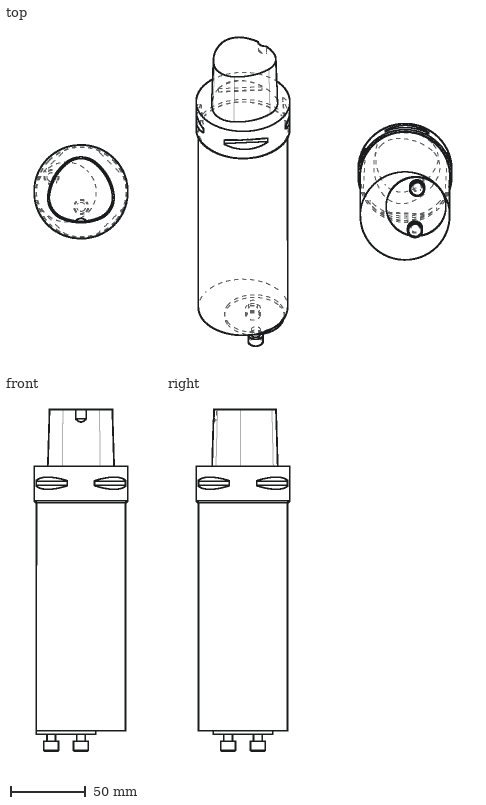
import cadquery as cq
import math

total_height = 229.0
shank_length = 38.0
flange_height = 24.5
pad_bottom = 11.2
body_bottom = 13.5
flange_top = total_height - shank_length
flange_bottom = flange_top - flange_height

flange_diameter = 63.0
body_diameter = 60.0
flange_chamfer = 1.1

lobe_radius = 15.5
side_radius = 33.2
lobe_center_distance = 7.8
lobe_facings = (90, 210, 330)
lobe_to_side_angle = 60
radius_step = side_radius - lobe_radius
lobe_center_across = lobe_center_distance * math.sin(math.radians(lobe_to_side_angle))
lobe_center_along = lobe_center_distance * math.cos(math.radians(lobe_to_side_angle))
side_half_angle = math.degrees(math.asin(lobe_center_across / radius_step))
side_center_distance = radius_step * math.cos(math.radians(side_half_angle)) - lobe_center_along
lobe_half_angle = lobe_to_side_angle - side_half_angle
taper_per_side = 1.1

notch_diameter = 9.2
notch_axis_y = -22.5
notch_depth = 6.5
notch_tip_height = notch_diameter / 2

groove_angles = (45, 135, 225, 315)
groove_center_z = 179.5
groove_floor_distance = 27.5
groove_floor_width = 3.0
groove_flank_angle = 33.0
groove_length = 29.3

pad_diameter = 40.0
pad_center_x = -(body_diameter - pad_diameter) / 2
screw_pitch = 20.0
screw_shank_diameter = 6.0
screw_head_diameter = 10.0
screw_head_height = 6.6
screw_head_chamfer = 0.7


def cylinder(diameter, bottom, top, x=0.0, y=0.0):
    """Upright cylinder between two heights."""
    base = cq.Workplane("XY", origin=(x, y, bottom))
    return base.circle(diameter / 2).extrude(top - bottom)


def polar(radius, angle):
    """Point at a distance and an angle in degrees from the origin."""
    return radius * math.cos(math.radians(angle)), radius * math.sin(math.radians(angle))


def arc_point(center, radius, angle):
    """Point on a circle about a center, at an angle in degrees."""
    reach_x, reach_y = polar(radius, angle)
    return center[0] + reach_x, center[1] + reach_y


def shank_outline(workplane, inset):
    """Closed outline moved inward by the inset, running from each lobe to the side after it."""
    lobe = lobe_radius - inset
    side = side_radius - inset
    first_center = polar(lobe_center_distance, lobe_facings[0])
    outline = workplane.moveTo(*arc_point(first_center, lobe, lobe_facings[0] - lobe_half_angle))
    for facing in lobe_facings:
        lobe_center = polar(lobe_center_distance, facing)
        side_facing = facing + lobe_to_side_angle
        side_center = polar(-side_center_distance, side_facing)
        outline = outline.threePointArc(
            arc_point(lobe_center, lobe, facing), arc_point(lobe_center, lobe, facing + lobe_half_angle)
        )
        outline = outline.threePointArc(
            arc_point(side_center, side, side_facing),
            arc_point(side_center, side, side_facing + side_half_angle),
        )
    return outline.close()


def make_shank():
    """Tapered shank standing on the flange."""
    lower = shank_outline(cq.Workplane("XY", origin=(0, 0, flange_top)), 0.0)
    both = shank_outline(lower.workplane(offset=shank_length), taper_per_side)
    return both.loft(ruled=True, combine=True)


def make_notch():
    """Upright round cut with a conical tip below it."""
    floor = total_height - notch_depth
    tip_point = cq.Vector(0, notch_axis_y, floor - notch_tip_height)
    tip = cq.Solid.makeCone(0, notch_diameter / 2, notch_tip_height, pnt=tip_point)
    return cylinder(notch_diameter, floor, total_height, y=notch_axis_y).union(tip)


def make_groove(angle):
    """Straight groove with a flat floor and sloping flanks."""
    depth = flange_diameter / 2 - groove_floor_distance
    half_floor = groove_floor_width / 2
    half_mouth = half_floor + depth * math.tan(math.radians(groove_flank_angle))
    groove = (
        cq.Workplane("XZ", origin=(0, groove_length / 2, groove_center_z))
        .moveTo(groove_floor_distance, -half_floor)
        .lineTo(flange_diameter / 2, -half_mouth)
        .lineTo(flange_diameter / 2, half_mouth)
        .lineTo(groove_floor_distance, half_floor)
        .close()
        .extrude(groove_length)
    )
    return groove.rotate((0, 0, 0), (0, 0, 1), angle)


def make_screw(x, y):
    """Screw hanging from the pad, head down."""
    head = cylinder(screw_head_diameter, 0, screw_head_height, x, y)
    head = head.faces("<Z").edges().chamfer(screw_head_chamfer)
    return head.union(cylinder(screw_shank_diameter, screw_head_height, pad_bottom, x, y))


flange = cylinder(flange_diameter, flange_bottom, flange_top)
flange = flange.faces("<Z").edges().chamfer(flange_chamfer)
for angle in groove_angles:
    flange = flange.cut(make_groove(angle))

result = flange.union(make_shank().cut(make_notch()))
result = result.union(cylinder(body_diameter, body_bottom, flange_bottom))
result = result.union(cylinder(pad_diameter, pad_bottom, body_bottom, pad_center_x))
for side in (-1, 1):
    screw_x = pad_center_x + side * screw_pitch / 2
    screw_y = -side * screw_pitch / 2
    result = result.union(make_screw(screw_x, screw_y))